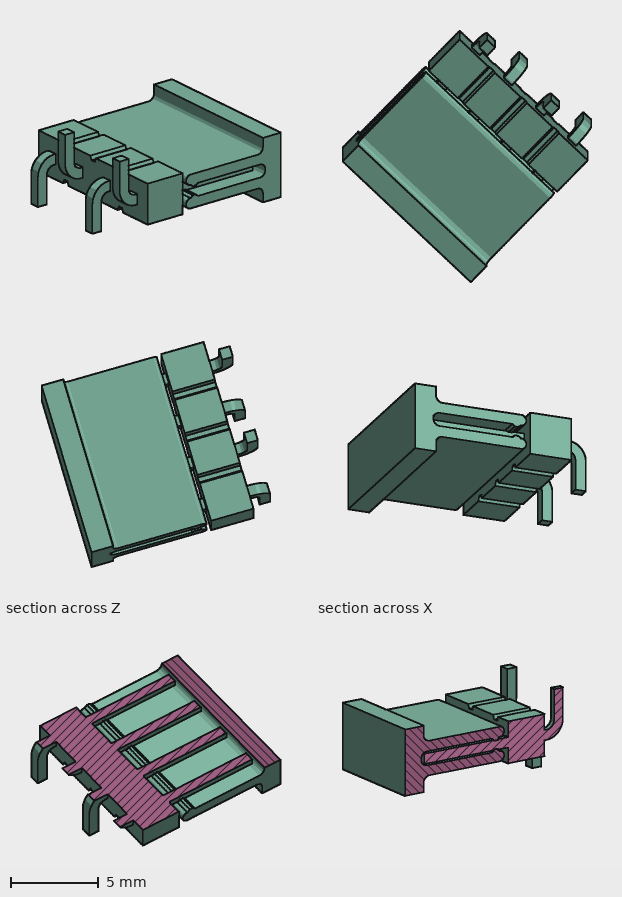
import cadquery as cq
import math

row_length = 10.16
total_depth = 10.92
total_height = 5.29
front_y = -total_depth / 2
back_y = total_depth / 2

pin_count = 4
pitch = row_length / pin_count
pin_size = 0.64
pin_half = pin_size / 2
bend_inner_radius = 0.5
bend_outer_radius = bend_inner_radius + pin_size

block_size = 2.53
block_half = block_size / 2
block_front_y = front_y + 1.28
groove_top_width = 0.51
groove_floor_width = 0.28
groove_depth = 0.25

bar_depth = 1.3
bar_height = 3.99
bar_front_y = back_y - bar_depth
arm_thickness = 0.64
arm_reach = 6.86
arm_tip_y = back_y - arm_reach
tip_radius = arm_thickness / 2
root_fillet = 0.39
slot_half = 0.4
slot_overrun = 0.17
pin_back_y = bar_front_y

ridge_height = 0.13
ridge_back = 0.86
ridge_top_back = 0.7
ridge_top_front = 0.5


def header_block():
    """Square bar with a groove above and below each joint between pin positions."""
    block = cq.Workplane("XY").box(row_length, block_size, block_size)
    block = block.translate((0, block_front_y + block_half, 0))
    floor_z = block_half - groove_depth
    for joint in range(1, pin_count):
        joint_x = joint * pitch - row_length / 2
        groove = (
            cq.Workplane("XZ", origin=(joint_x, block_front_y, 0))
            .moveTo(-groove_top_width / 2, block_half)
            .lineTo(groove_top_width / 2, block_half)
            .lineTo(groove_floor_width / 2, floor_z)
            .lineTo(-groove_floor_width / 2, floor_z)
            .close()
            .extrude(-block_size)
        )
        block = block.cut(groove).cut(groove.mirror("XY"))
    return block


def bent_pin(x, tail_up):
    """Straight square pin along Y whose tail turns a right angle at the front."""
    bend_y = front_y + bend_outer_radius
    bend_z = pin_half - bend_outer_radius
    tail_end_z = -total_height / 2

    def bend_middle(radius):
        offset = radius * math.sqrt(0.5)
        return (bend_y - offset, bend_z + offset)

    pin = (
        cq.Workplane("YZ", origin=(x - pin_half, 0, 0))
        .moveTo(pin_back_y, pin_half)
        .lineTo(bend_y, pin_half)
        .threePointArc(bend_middle(bend_outer_radius), (front_y, bend_z))
        .lineTo(front_y, tail_end_z)
        .lineTo(front_y + pin_size, tail_end_z)
        .lineTo(front_y + pin_size, bend_z)
        .threePointArc(bend_middle(bend_inner_radius), (bend_y, -pin_half))
        .lineTo(pin_back_y, -pin_half)
        .close()
        .extrude(pin_size)
    )
    return pin.mirror("XY") if tail_up else pin


def header_body(mating_clip):
    """Block and pins in one piece, the pins notched where the clip ridges press in."""
    header = header_block()
    for i in range(pin_count):
        pin_x = (i + 0.5) * pitch - row_length / 2
        header = header.union(bent_pin(pin_x, tail_up=i % 2 == 1))
    return header.cut(mating_clip)


def clip_upper_half():
    """Half of the clip above the mid-plane, as one profile drawn along X."""
    arm_outer_z = slot_half + arm_thickness
    ridge_z = slot_half - ridge_height
    tip_center_y = arm_tip_y + tip_radius
    slot_end_y = bar_front_y + slot_overrun
    slot_center_y = slot_end_y - slot_half
    slot_arc_offset = slot_half * math.sqrt(0.5)
    fillet_center_y = bar_front_y - root_fillet
    fillet_center_z = arm_outer_z + root_fillet
    fillet_arc_offset = root_fillet * math.sqrt(0.5)
    return (
        cq.Workplane("YZ", origin=(-row_length / 2, 0, 0))
        .moveTo(back_y, 0)
        .lineTo(back_y, bar_height / 2)
        .lineTo(bar_front_y, bar_height / 2)
        .lineTo(bar_front_y, fillet_center_z)
        .threePointArc(
            (fillet_center_y + fillet_arc_offset, fillet_center_z - fillet_arc_offset),
            (fillet_center_y, arm_outer_z),
        )
        .lineTo(tip_center_y, arm_outer_z)
        .threePointArc((arm_tip_y, slot_half + tip_radius), (tip_center_y, slot_half))
        .lineTo(arm_tip_y + ridge_top_front, ridge_z)
        .lineTo(arm_tip_y + ridge_top_back, ridge_z)
        .lineTo(arm_tip_y + ridge_back, slot_half)
        .lineTo(slot_center_y, slot_half)
        .threePointArc((slot_center_y + slot_arc_offset, slot_arc_offset), (slot_end_y, 0))
        .close()
        .extrude(row_length)
    )


def clip_body():
    """Both halves of the clip joined into one solid across the mid-plane."""
    upper = clip_upper_half()
    return upper.union(upper.mirror("XY")).clean()


clip = clip_body()
header = header_body(clip)

result = cq.Compound.makeCompound([header.solids().val(), clip.solids().val()])